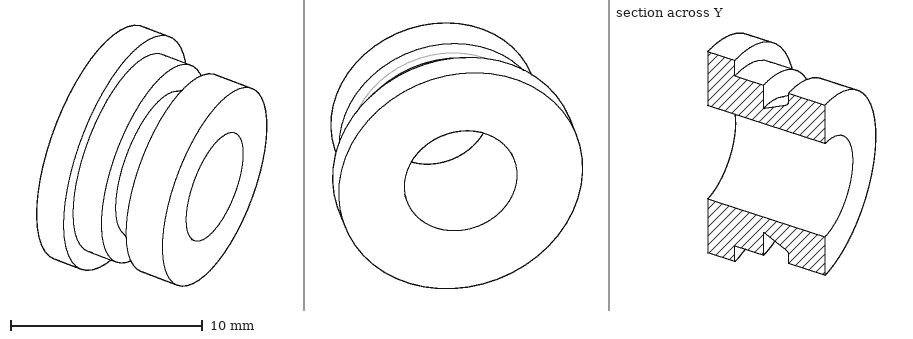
import cadquery as cq

flange_end = 1.62
groove_start = 3.33
groove_end = 4.81
length = 7.0

flange_diameter = 13.0
body_diameter = 11.0
bore_diameter = 6.0
groove_small_diameter = 8.01
groove_large_diameter = 9.52

groove_fillet = 0.3

flange_radius = flange_diameter / 2
body_radius = body_diameter / 2
bore_radius = bore_diameter / 2
groove_small_radius = groove_small_diameter / 2
groove_large_radius = groove_large_diameter / 2

half_section = (
    cq.Workplane("XZ")
    .moveTo(0, bore_radius)
    .lineTo(0, flange_radius)
    .lineTo(flange_end, flange_radius)
    .lineTo(flange_end, body_radius)
    .lineTo(groove_start, body_radius)
    .lineTo(groove_start, groove_small_radius)
    .lineTo(groove_end, groove_large_radius)
    .lineTo(groove_end, body_radius)
    .lineTo(length, body_radius)
    .lineTo(length, bore_radius)
    .close()
)

bushing = half_section.revolve(360, (0, 0, 0), (1, 0, 0))

cone_corner = cq.selectors.RadiusNthSelector(2)
result = bushing.edges("%CIRCLE").edges(cone_corner).fillet(groove_fillet)